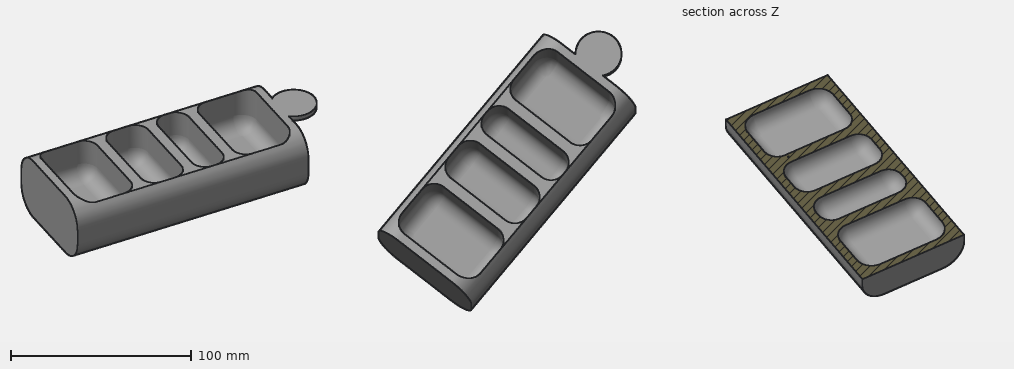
import cadquery as cq
import math

body_width = 66.3
body_length = 145.4
body_height = 38.3
body_radius = 14.3

total_length = 166.5
tab_radius = 12.8
tab_thickness = 3.0

side_wall = 5.3
end_wall = 5.2
divider = 6.5
compartment_lengths = [35.5, 25.5, 19.2, 35.5]
floor_height = 11.2
floor_fillet = 8.5
end_corner_radius = 9.7

cavity_width = body_width - 2 * side_wall
cavity_length = body_length - 2 * end_wall

edge_offset = body_radius - side_wall
divider_top = body_height - body_radius + math.sqrt(body_radius**2 - edge_offset**2)


def make_body():
    return (
        cq.Workplane("XY")
        .box(body_width, body_length, body_height, centered=(True, False, False))
        .edges("|Y")
        .fillet(body_radius)
    )


def make_tab():
    return (
        cq.Workplane("XY", origin=(0, total_length - tab_radius, body_height - tab_thickness))
        .circle(tab_radius)
        .extrude(tab_thickness)
    )


def make_cavity_outline(bottom):
    """Rounded block from the given height up through the top of the body."""
    return (
        cq.Workplane("XY", origin=(0, end_wall, bottom))
        .box(cavity_width, cavity_length, body_height - bottom, centered=(True, False, False))
        .edges("|Z")
        .fillet(end_corner_radius)
    )


def make_compartment(start, length, outer_side=None):
    """Compartment space with a rounded floor; an end one has larger corners on its outer side."""
    space = cq.Workplane("XY", origin=(0, start, floor_height)).box(
        cavity_width, length, body_height - floor_height, centered=(True, False, False)
    )
    if outer_side is None:
        space = space.edges("|Z").fillet(floor_fillet)
    else:
        inner_side = "<Y" if outer_side == ">Y" else ">Y"
        space = space.edges(f"|Z and {outer_side}").fillet(end_corner_radius)
        space = space.edges(f"|Z and {inner_side}").fillet(floor_fillet)
    return space.faces("<Z").edges().fillet(floor_fillet)


result = make_body().union(make_tab()).cut(make_cavity_outline(divider_top))

outer_sides = ["<Y", None, None, ">Y"]
compartment_start = end_wall
for compartment_length, outer_side in zip(compartment_lengths, outer_sides):
    result = result.cut(make_compartment(compartment_start, compartment_length, outer_side))
    compartment_start += compartment_length + divider